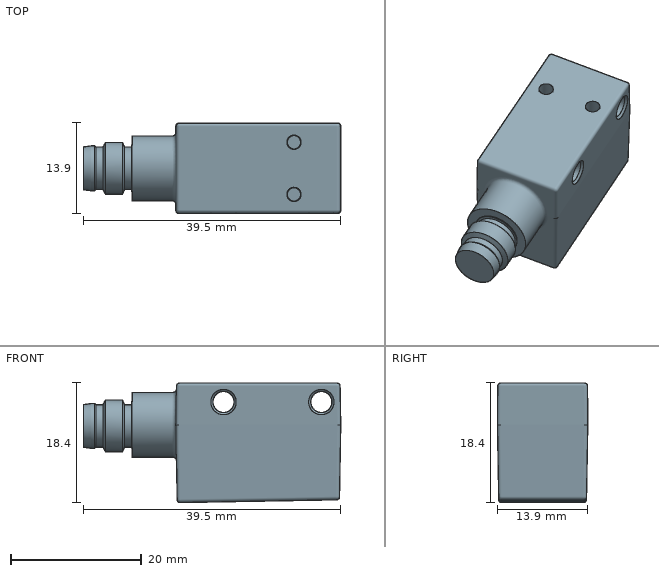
import cadquery as cq
import math

total_length = 39.5
housing_width = 13.9
housing_top = 6.42
housing_bottom = -11.96
housing_start = 14.17
draft_angle = 1.0
upper_side_draft_angle = 0.4
edge_radius = 0.5

housing_length = total_length - housing_start
draft_slope = math.tan(math.radians(draft_angle))
upper_side_draft_slope = math.tan(math.radians(upper_side_draft_angle))

sleeve_radius = 4.99
sleeve_start = 7.5
sleeve_fillet = 0.5

locating_ring_radius = 3.55
locating_ring_height = 0.15

plug_axis_z = -0.17
tip_radius = 3.3
neck_radius = 3.28
snap_ring_radius = 3.47
collar_radius = 4.0
snap_ring_start = 1.25
snap_ring_end = 1.7
front_neck_start = 1.95
front_neck_end = 3.0
collar_start = 3.4
collar_end = 6.0
rear_neck_start = 6.33

cross_hole_diameter = 3.2
cross_hole_countersink = 0.35
cross_hole_spacing = 15.0
cross_hole_end_distance = 3.0
cross_hole_z = 3.5

blind_hole_diameter = 2.2
blind_hole_depth = 5.0
blind_hole_spacing = 8.0
blind_hole_end_distance = 7.2


def drafted_block(height, side_draft_slope):
    """Block on the parting plane, narrowing away from it; a negative height goes down."""
    centre_x = housing_start + housing_length / 2
    end_inset = abs(height) * draft_slope
    side_inset = abs(height) * side_draft_slope
    return (
        cq.Workplane("XY")
        .center(centre_x, 0)
        .rect(housing_length, housing_width)
        .workplane(offset=height)
        .rect(housing_length - 2 * end_inset, housing_width - 2 * side_inset)
        .loft(ruled=True)
    )


def upper_housing():
    """Upper half with a flat top and every edge above the parting plane rounded."""
    block = drafted_block(housing_top, upper_side_draft_slope)
    return block.edges("not <Z").fillet(edge_radius)


def lower_housing():
    """Lower half whose underside rises toward the far end."""
    far_end_rise = housing_length * draft_slope
    below_slope = (
        cq.Workplane("XZ")
        .moveTo(housing_start, housing_bottom)
        .lineTo(total_length, housing_bottom + far_end_rise)
        .lineTo(total_length, 2 * housing_bottom)
        .lineTo(housing_start, 2 * housing_bottom)
        .close()
        .extrude(housing_width, both=True)
    )
    block = drafted_block(housing_bottom, draft_slope).cut(below_slope)
    return block.edges("not >Z").fillet(edge_radius)


def cylinder_along_x(radius, start_x, end_x):
    """Cylinder about the X axis between two X positions."""
    return cq.Workplane("YZ", origin=(start_x, 0, 0)).circle(radius).extrude(end_x - start_x)


def with_half_sleeve(half_housing, side):
    """Add the half sleeve above (side 1) or below (side -1) the parting plane, filleted at its root."""
    inside_x = housing_start + 2 * edge_radius
    half_space = (
        cq.Workplane("XY")
        .rect(2 * total_length, housing_width)
        .extrude(side * housing_width)
    )
    half_sleeve = cylinder_along_x(sleeve_radius, sleeve_start, inside_x).intersect(half_space)
    body = half_housing.union(half_sleeve)
    arc_centroid_z = side * 2 * sleeve_radius / math.pi
    root_edge = cq.selectors.NearestToPointSelector((housing_start, 0, arc_centroid_z))
    return body.edges(root_edge).fillet(sleeve_fillet)


def plug():
    """Turned plug with a snap ring at the tip and a collar between two necks."""
    return (
        cq.Workplane("XY")
        .moveTo(0, 0)
        .lineTo(0, tip_radius)
        .lineTo(snap_ring_start, snap_ring_radius)
        .lineTo(snap_ring_end, snap_ring_radius)
        .lineTo(front_neck_start, neck_radius)
        .lineTo(front_neck_end, neck_radius)
        .lineTo(collar_start, collar_radius)
        .lineTo(collar_end, collar_radius)
        .lineTo(rear_neck_start, neck_radius)
        .lineTo(housing_start, neck_radius)
        .lineTo(housing_start, 0)
        .close()
        .revolve(360, (0, 0, 0), (1, 0, 0))
        .translate((0, 0, plug_axis_z))
    )


def cross_hole(x):
    """Cutter for one cross hole, widening at both drafted side faces."""
    hole_radius = cross_hole_diameter / 2
    half_width = housing_width / 2 - cross_hole_z * upper_side_draft_slope
    mouth_radius = hole_radius + cross_hole_countersink
    outline = [
        (0, -housing_width),
        (mouth_radius, -housing_width),
        (mouth_radius, -half_width),
        (hole_radius, cross_hole_countersink - half_width),
        (hole_radius, half_width - cross_hole_countersink),
        (mouth_radius, half_width),
        (mouth_radius, housing_width),
        (0, housing_width),
    ]
    return (
        cq.Workplane("XY")
        .polyline(outline)
        .close()
        .revolve(360, (0, 0, 0), (0, 1, 0))
        .translate((x, 0, cross_hole_z))
    )


def blind_hole(y):
    """Cutter for one blind hole that narrows with depth."""
    return (
        cq.Workplane("XY", origin=(total_length - blind_hole_end_distance, y, housing_top))
        .circle(blind_hole_diameter / 2)
        .extrude(-blind_hole_depth, taper=draft_angle)
    )


locating_ring_start = sleeve_start - locating_ring_height
locating_ring = cylinder_along_x(locating_ring_radius, locating_ring_start, sleeve_start)
upper_half = with_half_sleeve(upper_housing(), 1)
lower_half = with_half_sleeve(lower_housing(), -1)
result = upper_half.union(lower_half).union(locating_ring).union(plug())

last_cross_hole_x = total_length - cross_hole_end_distance
for cross_hole_x in (last_cross_hole_x - cross_hole_spacing, last_cross_hole_x):
    result = result.cut(cross_hole(cross_hole_x))

for side in (-1, 1):
    result = result.cut(blind_hole(side * blind_hole_spacing / 2))